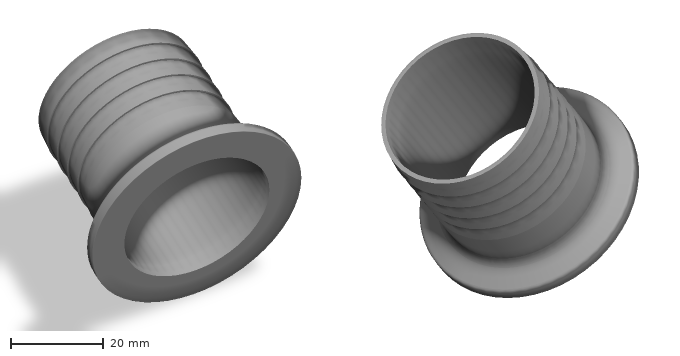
import cadquery as cq
import math

length = 40.0
bore_radius = 17.5
tube_radius = 19.0
barb_root_radius = 18.5
barb_count = 5
barb_pitch = 5.0

flange_radius = 50.5 / 2
flange_rim_width = 2.85
flange_back_angle = 20.0
neck_fillet_radius = 2.0
rim_fillet_radius = 0.8
face_edge_radius = 0.1

match_tolerance = 1e-6

rim_corner_x = length - flange_rim_width
cone_run = (flange_radius - tube_radius) * math.tan(math.radians(flange_back_angle))
neck_corner_x = rim_corner_x - cone_run


def make_body():
    """Revolve the half section, with sharp corners, about the X axis."""
    profile = cq.Workplane("XY").moveTo(0, bore_radius)
    for barb in range(barb_count):
        profile = profile.lineTo(barb * barb_pitch, barb_root_radius)
        profile = profile.lineTo((barb + 1) * barb_pitch, tube_radius)
    profile = (
        profile.lineTo(neck_corner_x, tube_radius)
        .lineTo(rim_corner_x, flange_radius)
        .lineTo(length, flange_radius)
        .lineTo(length, bore_radius)
        .close()
    )
    return profile.revolve(360, (0, 0, 0), (1, 0, 0))


def fillet_circle(body, x, circle_radius, fillet_radius):
    """Round the circular edge of the given radius whose centre lies on the axis at x."""

    def is_wanted(edge):
        same_radius = abs(edge.radius() - circle_radius) < match_tolerance
        same_place = abs(edge.arcCenter().x - x) < match_tolerance
        return same_radius and same_place

    return body.edges("%CIRCLE").filter(is_wanted).fillet(fillet_radius)


result = make_body()
result = fillet_circle(result, neck_corner_x, tube_radius, neck_fillet_radius)
result = fillet_circle(result, rim_corner_x, flange_radius, rim_fillet_radius)
result = fillet_circle(result, length, flange_radius, face_edge_radius)